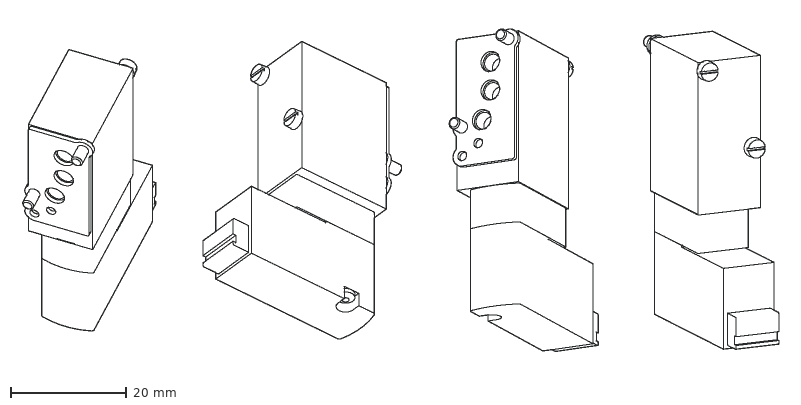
import cadquery as cq
import math


TOTAL_HEIGHT = 49.45
TOLERANCE = 0.005

LOBE_DIAMETER = 3.6
LOBE_RADIUS = LOBE_DIAMETER / 2

BODY_WIDTH = 12.0
BODY_DEPTH = 19.05
BODY_BOTTOM = 21.85
BODY_TOP = 49.15

SCREW_CENTERS = [(10.55, TOTAL_HEIGHT - LOBE_RADIUS), (1.45, 32.85)]
SHANK_DIAMETER = 2.1
SHANK_TIP_Y = -3.95
TIP_CHAMFER = 0.25
HEAD_BASE_DIAMETER = 3.45
HEAD_TOP_DIAMETER = 3.25
HEAD_HEIGHT = 1.55
DRIVER_SLOT_WIDTH = 0.45
DRIVER_SLOT_DEPTH = 0.5

GASKET_THICKNESS = 0.8
GASKET_LEFT = 0.25
GASKET_RIGHT = 11.65
GASKET_TOP = 48.9
GASKET_CORNER_RADIUS = 0.5
LOBE_BLEND_RADIUS = 0.4
CORNER_LOBE_CENTER = (1.45, 27.7)
GASKET_BOTTOM = CORNER_LOBE_CENTER[1] - LOBE_RADIUS

FLAT_PORT_CENTERS = [(6.9, 44.05), (6.9, 38.9)]
CONE_PORT_CENTER = (5.25, 33.75)
PORT_OPENING_DIAMETER = 3.6
PORT_DIAMETER = 3.0
PORT_DEPTH = 2.95
PORT_CONE_HEIGHT = 0.9
PILOT_HOLE_CENTERS = [CORNER_LOBE_CENTER, (4.55, 29.6)]
PILOT_HOLE_DIAMETER = 1.7

COIL_LEFT = 2.05
COIL_WIDTH = 9.8
COIL_CENTER_X = COIL_LEFT + COIL_WIDTH / 2
FRONT_Y = 0.1
FRONT_BOW = 0.8
FRONT_CORNER_RADIUS = 0.5
SPACER_BACK_Y = 18.5
SPACER_BOTTOM = 14.85
SPACER_BACK_RADIUS = 0.2
COIL_BACK_Y = 28.65
COIL_STEP_Y = 11.9
COIL_STEP_HEIGHT = 0.35

BUTTON_DIAMETER = 3.25
BUTTON_RADIUS = BUTTON_DIAMETER / 2
BUTTON_CENTER = (COIL_LEFT + BUTTON_RADIUS, 6.2)
POCKET_HEIGHT = 2.65
BUTTON_RIM_HEIGHT = 0.75
BUTTON_CONE_HEIGHT = 0.5
BUTTON_END_DIAMETER = 1.25

CONNECTOR_WIDTH = 8.25
CONNECTOR_BACK_Y = 32.2
CONNECTOR_BOTTOM = 0.65
CONNECTOR_TOP = 6.4
CONNECTOR_EDGE_RADIUS = 0.3
LATCH_BOTTOM = 1.4
LATCH_TOP = 2.95
LATCH_DEPTH = 0.65


def block(x_range, y_range, z_range):
    """Box between two limits on each axis."""
    (x0, x1), (y0, y1), (z0, z1) = x_range, y_range, z_range
    return cq.Workplane("XY").box(x1 - x0, y1 - y0, z1 - z0, centered=False).translate((x0, y0, z0))


def rod(center, diameter, y_start, y_end):
    """Cylinder along Y, centred on an (x, z) point."""
    x, z = center
    axis = cq.Vector(0, 1, 0)
    return cq.Workplane(cq.Solid.makeCylinder(diameter / 2, y_end - y_start, cq.Vector(x, y_start, z), axis))


def make_body():
    body = block((0, BODY_WIDTH), (0, BODY_DEPTH), (BODY_BOTTOM, BODY_TOP))
    for center in SCREW_CENTERS:
        body = body.cut(rod(center, SHANK_DIAMETER, 0, BODY_DEPTH))
    for center in FLAT_PORT_CENTERS + [CONE_PORT_CENTER]:
        body = body.cut(rod(center, PORT_DIAMETER, 0, PORT_DEPTH))
    x, z = CONE_PORT_CENTER
    drill_point = cq.Solid.makeCone(
        PORT_DIAMETER / 2, 0, PORT_CONE_HEIGHT, cq.Vector(x, PORT_DEPTH, z), cq.Vector(0, 1, 0)
    )
    return body.cut(cq.Workplane(drill_point))


def make_gasket():
    plate = block((GASKET_LEFT, GASKET_RIGHT), (-GASKET_THICKNESS, 0), (GASKET_BOTTOM, GASKET_TOP))
    plate = plate.edges("|Y and ((<X and >Z) or (>X and <Z))").fillet(GASKET_CORNER_RADIUS)
    corner_x, corner_z = CORNER_LOBE_CENTER
    plate = plate.cut(block((GASKET_LEFT, corner_x), (-GASKET_THICKNESS, 0), (GASKET_BOTTOM, corner_z)))
    lobe_centers = SCREW_CENTERS + [CORNER_LOBE_CENTER]
    for center in lobe_centers:
        plate = plate.union(rod(center, LOBE_DIAMETER, -GASKET_THICKNESS, 0))
    for center in lobe_centers:
        plate = blend_lobe(plate, center)
    for center in SCREW_CENTERS:
        plate = plate.cut(rod(center, SHANK_DIAMETER, -GASKET_THICKNESS, 0))
    for center in FLAT_PORT_CENTERS + [CONE_PORT_CENTER]:
        plate = plate.cut(rod(center, PORT_OPENING_DIAMETER, -GASKET_THICKNESS, 0))
    for center in PILOT_HOLE_CENTERS:
        plate = plate.cut(rod(center, PILOT_HOLE_DIAMETER, -GASKET_THICKNESS, 0))
    return plate


def blend_lobe(plate, center):
    """Round the inner corners where a lobe leaves the straight edges of the plate."""
    x, z = center
    inner_corners = []
    for edge in plate.edges("|Y").vals():
        corner = edge.Center()
        on_lobe = abs(math.hypot(corner.x - x, corner.z - z) - LOBE_RADIUS) < TOLERANCE
        smooth = corner.z < GASKET_BOTTOM + TOLERANCE
        if on_lobe and not smooth:
            inner_corners.append(edge)
    return plate.newObject(inner_corners).fillet(LOBE_BLEND_RADIUS)


def make_screw(center):
    x, z = center
    shank = rod(center, SHANK_DIAMETER, SHANK_TIP_Y, BODY_DEPTH).faces("<Y").chamfer(TIP_CHAMFER)
    head = cq.Solid.makeCone(
        HEAD_BASE_DIAMETER / 2,
        HEAD_TOP_DIAMETER / 2,
        HEAD_HEIGHT,
        cq.Vector(x, BODY_DEPTH, z),
        cq.Vector(0, 1, 0),
    )
    head_top_y = BODY_DEPTH + HEAD_HEIGHT
    driver_slot = block(
        (x - HEAD_BASE_DIAMETER, x + HEAD_BASE_DIAMETER),
        (head_top_y - DRIVER_SLOT_DEPTH, head_top_y),
        (z - DRIVER_SLOT_WIDTH / 2, z + DRIVER_SLOT_WIDTH / 2),
    )
    return shank.union(cq.Workplane(head)).cut(driver_slot)


def bowed_block(back_y, bottom, top):
    """Upright block with a bowed front face and rounded front edges."""
    left = COIL_LEFT
    right = COIL_LEFT + COIL_WIDTH
    side_y = FRONT_Y + FRONT_BOW
    return (
        cq.Workplane("XY", origin=(0, 0, bottom))
        .moveTo(left, back_y)
        .lineTo(left, side_y)
        .threePointArc((COIL_CENTER_X, FRONT_Y), (right, side_y))
        .lineTo(right, back_y)
        .close()
        .extrude(top - bottom)
        .edges("|Z and (not >Y)")
        .fillet(FRONT_CORNER_RADIUS)
    )


def make_spacer():
    spacer = bowed_block(SPACER_BACK_Y, SPACER_BOTTOM, BODY_BOTTOM)
    return spacer.edges("|Z and >Y").fillet(SPACER_BACK_RADIUS)


def make_coil():
    coil = bowed_block(COIL_BACK_Y, 0, SPACER_BOTTOM)
    coil = coil.cut(
        block(
            (COIL_LEFT, COIL_LEFT + COIL_WIDTH),
            (COIL_STEP_Y, COIL_BACK_Y),
            (SPACER_BOTTOM - COIL_STEP_HEIGHT, SPACER_BOTTOM),
        )
    )
    x, y = BUTTON_CENTER
    opening = block((COIL_LEFT, x), (y - BUTTON_RADIUS, y + BUTTON_RADIUS), (0, POCKET_HEIGHT))
    round_end = cq.Workplane("XY").center(x, y).circle(BUTTON_RADIUS).extrude(POCKET_HEIGHT)
    return coil.cut(opening.union(round_end))


def make_button():
    """Button at the top of the pocket, with a cone pointing down."""
    x, y = BUTTON_CENTER
    rim_bottom = POCKET_HEIGHT - BUTTON_RIM_HEIGHT
    rim = cq.Workplane("XY", origin=(x, y, rim_bottom)).circle(BUTTON_RADIUS).extrude(BUTTON_RIM_HEIGHT)
    cone = cq.Solid.makeCone(
        BUTTON_RADIUS,
        BUTTON_END_DIAMETER / 2,
        BUTTON_CONE_HEIGHT,
        cq.Vector(x, y, rim_bottom),
        cq.Vector(0, 0, -1),
    )
    return rim.union(cq.Workplane(cone))


def make_connector():
    x_range = (COIL_CENTER_X - CONNECTOR_WIDTH / 2, COIL_CENTER_X + CONNECTOR_WIDTH / 2)
    connector = block(x_range, (COIL_BACK_Y, CONNECTOR_BACK_Y), (CONNECTOR_BOTTOM, CONNECTOR_TOP))
    connector = connector.faces(">Y").edges("|X").fillet(CONNECTOR_EDGE_RADIUS)
    latch_groove = block(
        x_range, (CONNECTOR_BACK_Y - LATCH_DEPTH, CONNECTOR_BACK_Y), (LATCH_BOTTOM, LATCH_TOP)
    )
    return connector.cut(latch_groove)


body = make_body()
gasket = make_gasket()
screws = [make_screw(center) for center in SCREW_CENTERS]
spacer = make_spacer()
coil = make_coil()
button = make_button()
connector = make_connector()

result = cq.Compound.makeCompound(
    [
        body.val(),
        gasket.val(),
        *[screw.val() for screw in screws],
        spacer.val(),
        coil.val(),
        button.val(),
        connector.val(),
    ]
)